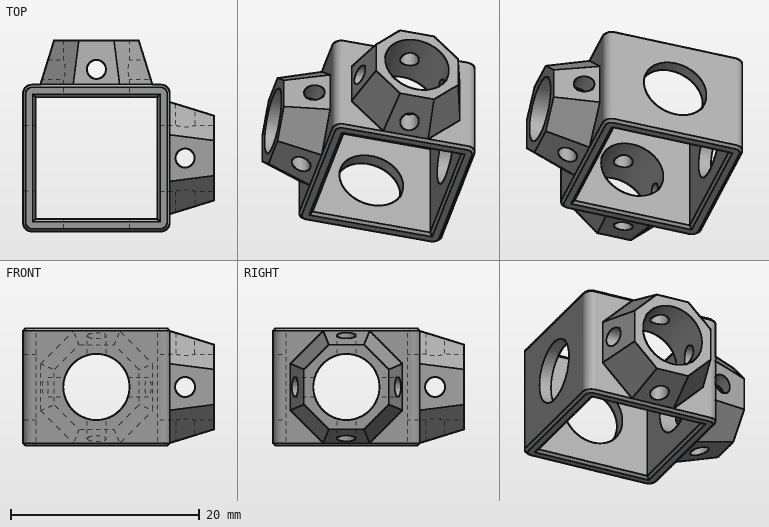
import cadquery as cq
import math

BODY_SIDE = 15.62
BODY_HEIGHT = 12.5
CORNER_RADIUS = 1.0
OPENING_SIDE = 12.9
EDGE_CHAMFER = 0.3

SOCKET_LENGTH = 4.69
OVERALL_SIZE = BODY_SIDE + SOCKET_LENGTH
SOCKET_BASE_FLATS = BODY_HEIGHT - 2 * EDGE_CHAMFER
SOCKET_TIP_FLATS = 9.0

BORE_DIAMETER = 7.0
HORIZONTAL_PIN_DIAMETER = 2.1
VERTICAL_PIN_DIAMETER = 2.0
PIN_OFFSET = 1.6

WALL_PLANE = BODY_SIDE / 2
OCTAGON_SIDES = 8


def make_sleeve():
    """Rounded square tube with chamfered outer and inner rims."""
    block = (
        cq.Workplane("XY")
        .box(BODY_SIDE, BODY_SIDE, BODY_HEIGHT)
        .edges("|Z")
        .fillet(CORNER_RADIUS)
        .faces("<Z or >Z")
        .chamfer(EDGE_CHAMFER)
    )
    opening = cq.Workplane("XY").box(OPENING_SIDE, OPENING_SIDE, BODY_HEIGHT)
    rim_cutter = (
        cq.Workplane("XY")
        .workplane(offset=BODY_HEIGHT / 2 - EDGE_CHAMFER)
        .rect(OPENING_SIDE, OPENING_SIDE)
        .workplane(offset=EDGE_CHAMFER)
        .rect(OPENING_SIDE + 2 * EDGE_CHAMFER, OPENING_SIDE + 2 * EDGE_CHAMFER)
        .loft(ruled=True)
    )
    return block.cut(opening).cut(rim_cutter).cut(rim_cutter.mirror("XY"))


def octagon_points(across_flats):
    """Corners of a regular octagon with flats facing the plane axes."""
    corner_radius = across_flats / 2 / math.cos(math.pi / OCTAGON_SIDES)
    angles = [math.pi * (2 * i + 1) / OCTAGON_SIDES for i in range(OCTAGON_SIDES)]
    return [(corner_radius * math.cos(a), corner_radius * math.sin(a)) for a in angles]


def make_socket():
    """Octagonal frustum growing outward from the +X wall."""
    return (
        cq.Workplane("YZ", origin=(WALL_PLANE, 0, 0))
        .polyline(octagon_points(SOCKET_BASE_FLATS))
        .close()
        .workplane(offset=SOCKET_LENGTH)
        .polyline(octagon_points(SOCKET_TIP_FLATS))
        .close()
        .loft(ruled=True)
    )


def make_through_hole(plane, diameter, center):
    """Cylinder normal to the plane, long enough to cross the whole part."""
    return (
        cq.Workplane(plane, origin=center)
        .circle(diameter / 2)
        .extrude(OVERALL_SIZE, both=True)
    )


def make_socket_holes():
    """Bore along X through both walls, plus the two crossing pin holes of the +X socket."""
    pin_center = (WALL_PLANE + PIN_OFFSET, 0, 0)
    bore = make_through_hole("YZ", BORE_DIAMETER, (0, 0, 0))
    horizontal_pin = make_through_hole("XZ", HORIZONTAL_PIN_DIAMETER, pin_center)
    vertical_pin = make_through_hole("XY", VERTICAL_PIN_DIAMETER, pin_center)
    return [bore, horizontal_pin, vertical_pin]


def turn_to_y(shape):
    """Turn a feature of the +X side onto the +Y side."""
    return shape.rotate((0, 0, 0), (0, 0, 1), 90)


socket = make_socket()
result = make_sleeve().union(socket).union(turn_to_y(socket))

for hole in make_socket_holes():
    result = result.cut(hole).cut(turn_to_y(hole))